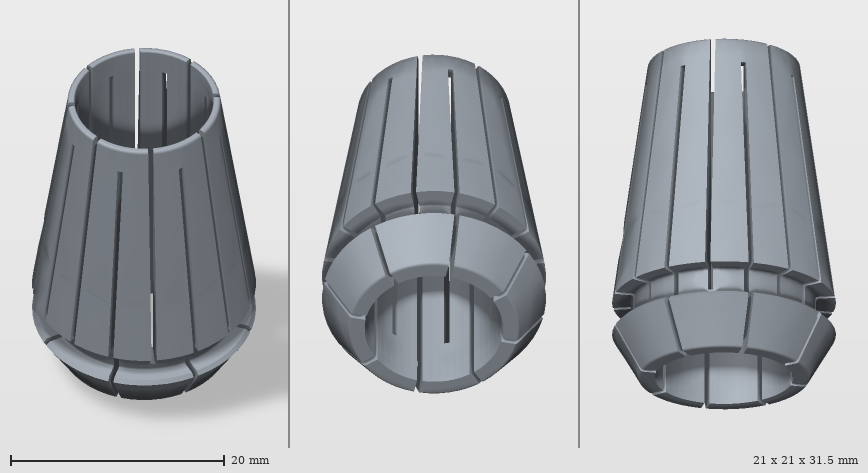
import cadquery as cq
import math


total_height = 31.5
head_top_height = 4.75
taper_base_height = 7.6

bore_radius = 13.0 / 2
rim_radius = 10.5
neck_radius = 8.7
taper_half_angle = 8.0
head_half_angle = 30.0

rim_chamfer = 0.35
neck_fillet = 0.2
mouth_outer_fillet = 0.3
mouth_inner_fillet = 0.17
head_bottom_fillet = 0.3

slots_per_end = 8
slot_width = 0.5
lower_slot_top = 29.0
upper_slot_floor = 5.5
slot_overrun = 1.0

head_rim_height = head_top_height - rim_chamfer
head_bottom_radius = rim_radius - head_rim_height * math.tan(math.radians(head_half_angle))
taper_height = total_height - taper_base_height
mouth_radius = rim_radius - taper_height * math.tan(math.radians(taper_half_angle))
slot_pitch = 360.0 / slots_per_end


def revolved_sleeve():
    """Sharp-edged body of revolution with a straight bore."""
    profile = (
        cq.Workplane("XZ")
        .moveTo(bore_radius, 0)
        .lineTo(head_bottom_radius, 0)
        .lineTo(rim_radius, head_rim_height)
        .lineTo(rim_radius - rim_chamfer, head_top_height)
        .lineTo(neck_radius, head_top_height)
        .lineTo(neck_radius, taper_base_height)
        .lineTo(rim_radius, taper_base_height)
        .lineTo(mouth_radius, total_height)
        .lineTo(bore_radius, total_height)
        .close()
    )
    return profile.revolve(360, (0, 0, 0), (0, 1, 0))


def fillet_ring(body, radius, height, fillet):
    """Round the circular edge that has the given radius and height."""
    tolerance = 1e-4
    rings = [
        edge
        for edge in body.edges("%CIRCLE").vals()
        if abs(edge.radius() - radius) < tolerance
        and abs(edge.startPoint().z - height) < tolerance
    ]
    return body.newObject(rings).fillet(fillet)


def round_edges(body):
    """Soften the mouth, both corners of the neck groove and the bottom of the head."""
    body = fillet_ring(body, mouth_radius, total_height, mouth_outer_fillet)
    body = fillet_ring(body, bore_radius, total_height, mouth_inner_fillet)
    body = fillet_ring(body, neck_radius, taper_base_height, neck_fillet)
    body = fillet_ring(body, neck_radius, head_top_height, neck_fillet)
    return fillet_ring(body, head_bottom_radius, 0, head_bottom_fillet)


def cut_radial_slots(body, bottom, top, first_angle):
    """Cut evenly spaced slots through the wall between two heights."""
    slot = cq.Workplane("XY").box(
        rim_radius + slot_overrun, slot_width, top - bottom, centered=(False, True, False)
    ).translate((0, 0, bottom))
    for index in range(slots_per_end):
        angle = first_angle + index * slot_pitch
        body = body.cut(slot.rotate((0, 0, 0), (0, 0, 1), angle))
    return body


result = round_edges(revolved_sleeve())
result = cut_radial_slots(result, -slot_overrun, lower_slot_top, 0)
result = cut_radial_slots(result, upper_slot_floor, total_height + slot_overrun, slot_pitch / 2)